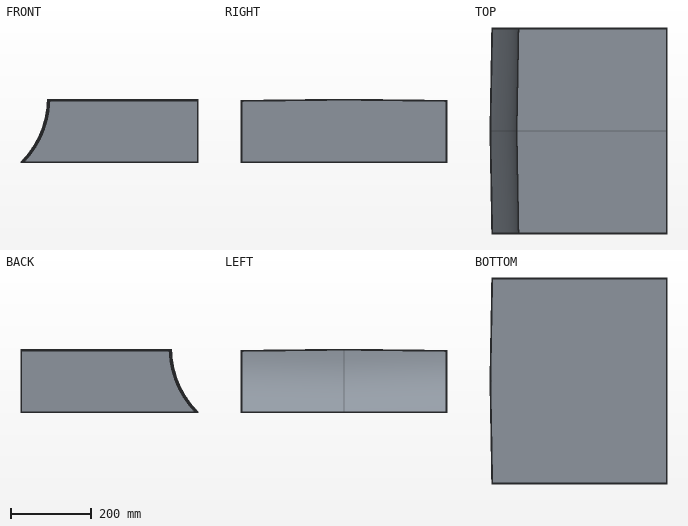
import cadquery as cq

length = 437.0
width = 508.0
center_height = 155.5

end_setback = 4.5
end_drop = 3.0

arc_top_x = 65.5
arc_middle_x = 51.0
arc_middle_z = 78.5


def section(y, setback, height):
    """Closed block outline in the plane at y, with its concave front arc."""
    foot = cq.Vector(setback, y, 0)
    middle = cq.Vector(setback + arc_middle_x, y, arc_middle_z)
    front_top = cq.Vector(setback + arc_top_x, y, height)
    back_top = cq.Vector(length, y, height)
    back_foot = cq.Vector(length, y, 0)
    return cq.Wire.assembleEdges([
        cq.Edge.makeThreePointArc(foot, middle, front_top),
        cq.Edge.makeLine(front_top, back_top),
        cq.Edge.makeLine(back_top, back_foot),
        cq.Edge.makeLine(back_foot, foot),
    ])


center_section = section(0, 0, center_height)
end_section = section(width / 2, end_setback, center_height - end_drop)
half = cq.Workplane(obj=cq.Solid.makeLoft([center_section, end_section], True))

result = half.union(half.mirror("XZ"))